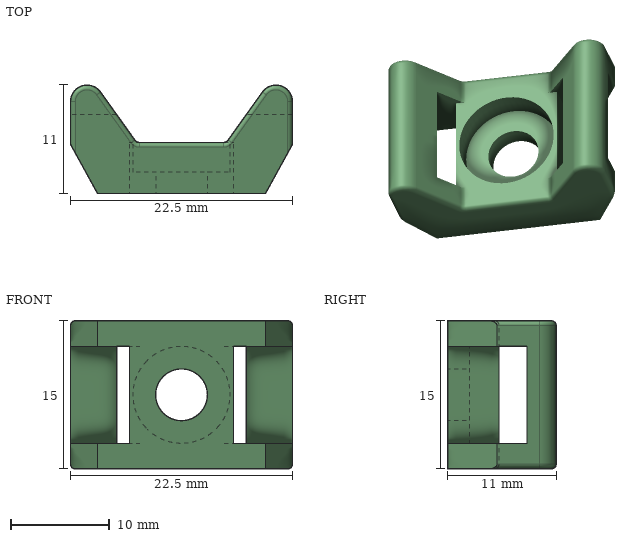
import cadquery as cq
import math

length = 22.5
depth = 11.0
height = 15.0

base_length = 17.0
chamfer_depth = 5.0
saddle_floor = 5.2
floor_length = 9.1
tip_radius = 1.69
floor_corner_radius = 0.56
rim_radius = 0.5

core_length = 10.55
slot_depth = 8.0
slot_height = 9.83
hole_diameter = 5.22
counterbore_diameter = 9.83
counterbore_start = 2.2

half_length = length / 2
half_floor = floor_length / 2
tip_x = half_length - tip_radius
tip_y = depth - tip_radius

run = tip_x - half_floor
rise = tip_y - saddle_floor
slope_angle = math.atan2(rise, run) + math.asin(tip_radius / math.hypot(run, rise))
tangent_x = tip_x - tip_radius * math.sin(slope_angle)
tangent_y = tip_y + tip_radius * math.cos(slope_angle)


def make_body():
    """Saddle with rounded tips, extruded along Z and centred on it."""
    return (
        cq.Workplane("XY", origin=(0, 0, -height / 2))
        .moveTo(-base_length / 2, 0)
        .lineTo(base_length / 2, 0)
        .lineTo(half_length, chamfer_depth)
        .lineTo(half_length, tip_y)
        .threePointArc((tip_x, depth), (tangent_x, tangent_y))
        .lineTo(half_floor, saddle_floor)
        .lineTo(-half_floor, saddle_floor)
        .lineTo(-tangent_x, tangent_y)
        .threePointArc((-tip_x, depth), (-half_length, tip_y))
        .lineTo(-half_length, chamfer_depth)
        .close()
        .extrude(height)
    )


def round_edges(body):
    """Soften the floor corners, then the saddle rim on both end faces."""
    corner_reach = 0.02
    floor_corners = cq.selectors.BoxSelector(
        (-half_floor - corner_reach, saddle_floor - corner_reach, -height),
        (half_floor + corner_reach, saddle_floor + corner_reach, height),
    )
    body = body.edges("|Z").edges(floor_corners).fillet(floor_corner_radius)
    rim = cq.selectors.BoxSelector(
        (-length, chamfer_depth, -height),
        (length, length, height),
    )
    return body.faces("<Z or >Z").edges(rim).fillet(rim_radius)


def make_slot(side):
    """Strap slot outside the central core, open to the base and the outer side."""
    slot_length = half_length - core_length / 2
    slot_x = side * (half_length + core_length / 2) / 2
    return (
        cq.Workplane("XY")
        .box(slot_length, slot_depth, slot_height)
        .translate((slot_x, slot_depth / 2, 0))
    )


def make_tunnel():
    """Strap passage over the core, joining the two slots level with the saddle floor."""
    tunnel_depth = slot_depth - saddle_floor
    return (
        cq.Workplane("XY")
        .box(length, tunnel_depth, slot_height)
        .translate((0, saddle_floor + tunnel_depth / 2, 0))
    )


def make_bore(diameter, start):
    """Cylinder along Y through the middle of the core, from start to beyond the saddle floor."""
    return cq.Workplane("XZ", origin=(0, start, 0)).circle(diameter / 2).extrude(-depth)


result = round_edges(make_body())
for side in (-1, 1):
    result = result.cut(make_slot(side))
result = result.cut(make_tunnel())
result = result.cut(make_bore(hole_diameter, 0))
result = result.cut(make_bore(counterbore_diameter, counterbore_start))